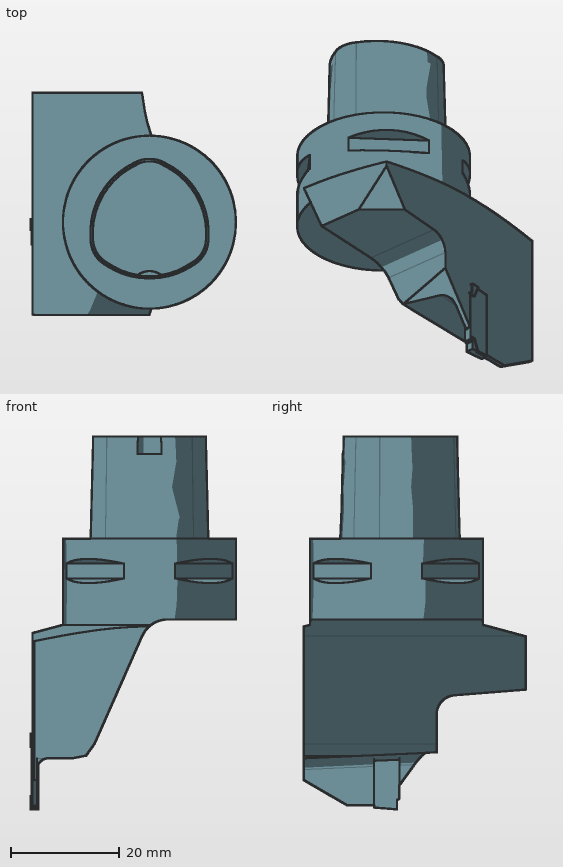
import cadquery as cq
import math


SHANK_HEIGHT = 18.9
LOBE_REACH = 11.7
FLAT_REACH = 10.4
LOBE_RADIUS = 5.5
LOBE_CENTRE = LOBE_REACH - LOBE_RADIUS
LOBE_ARC_HALF_ANGLE = 30.0
LOBE_COUNT = 3
SHANK_TAPER = math.degrees(math.atan(1 / 40))

KEYWAY_RADIUS = 7.0 / 2
KEYWAY_DEPTH = 3.3
KEYWAY_INNER_Y = -9.05

COLLAR_RADIUS = 32.0 / 2
COLLAR_HEIGHT = 15.95
CONE_ANGLE = 15.0
CONE_RADIUS = 34.5

SLOT_COUNT = 4
SLOT_START_ANGLE = 45.0
SLOT_Z = -6.0
SLOT_FLOOR_DISTANCE = 14.15
SLOT_FLOOR_WIDTH = 2.7
SLOT_MOUTH_WIDTH = 4.5

FACE_X = -21.7
BLADE_THICKNESS = 0.9
BLADE_BOTTOM_Z = -49.35
REAR_Y = 23.95
FRONT_Y = -17.2
STEP_Y = 7.45
WING_OUTER_Z = -27.95
WING_INNER_Z = -29.25
STEP_FILLET_RADIUS = 7.0 / 2
BLOCK_FRONT_Z = -40.65
BLOCK_STEP_Z = -39.55
BLADE_FILLET_RADIUS = 2.1
BLADE_CORNER_Y = -9.1
BLADE_CORNER_Z = -44.65
EDGE_CHAMFER_X = 0.4
EDGE_CHAMFER_Y = 0.15

RELIEF_TOP_Z = -15.0
RELIEF_TOP_X = 0.0
RELIEF_FILLET_RADIUS = 5.2
RELIEF_LOW = (-10.15, -37.95)
RELIEF_NOSE = (-11.7, -40.15)
RELIEF_END = (-14.2, BLOCK_FRONT_Z)

CLEARANCE_SLOPE = 54.0
WING_CLEARANCE_TILT = 30.0
BLADE_CLEARANCE_TILT = 12.0
WING_CLEARANCE = (REAR_Y, -21.25)
BLADE_CLEARANCE = (STEP_Y, -35.8)

INSERT_MIDDLE_Z = -43.05
INSERT_HALF_LENGTH = 7.05
INSERT_BACK_HALF_LENGTH = 6.7
INSERT_OUTER_X = -21.8
INSERT_INNER_X = -20.5
INSERT_FRONT_Y = 0.55
INSERT_BACK_Y = -4.15
INSERT_END_CHAMFER = 0.2
TIP_X = -22.0
TIP_EDGE_Y = 0.15
TIP_ROOT_Y = -0.4
TIP_BACK_Y = -1.45
TIP_ROOT_HALF_LENGTH = 4.55
TIP_FRONT_HALF_LENGTH = 5.05
TIP_EDGE_HALF_LENGTH = 5.3

CUTTER_SIZE = 82.8


def polar(radius, angle):
    return (radius * math.cos(math.radians(angle)), radius * math.sin(math.radians(angle)))


def lobe_point(lobe_angle, normal_angle):
    """Point of a lobe arc where the outward normal has the given angle."""
    centre_x, centre_y = polar(LOBE_CENTRE, lobe_angle)
    offset_x, offset_y = polar(LOBE_RADIUS, normal_angle)
    return (centre_x + offset_x, centre_y + offset_y)


def make_shank():
    lobe_spacing = 360 / LOBE_COUNT
    profile = cq.Workplane("XY").moveTo(*lobe_point(90, 90 - LOBE_ARC_HALF_ANGLE))
    for index in range(LOBE_COUNT):
        lobe_angle = 90 + index * lobe_spacing
        next_lobe = lobe_angle + lobe_spacing
        profile = profile.threePointArc(
            polar(LOBE_REACH, lobe_angle),
            lobe_point(lobe_angle, lobe_angle + LOBE_ARC_HALF_ANGLE),
        )
        profile = profile.threePointArc(
            polar(FLAT_REACH, lobe_angle + lobe_spacing / 2),
            lobe_point(next_lobe, next_lobe - LOBE_ARC_HALF_ANGLE),
        )
    shank = profile.close().extrude(SHANK_HEIGHT, taper=SHANK_TAPER)
    keyway = (
        cq.Workplane("XY", origin=(0, KEYWAY_INNER_Y - KEYWAY_RADIUS, SHANK_HEIGHT))
        .circle(KEYWAY_RADIUS)
        .extrude(-KEYWAY_DEPTH)
    )
    return shank.cut(keyway)


def make_gripper_slots():
    """Cutters with a flat floor and flaring sides, spread around the collar."""
    cut_distance = 2 * COLLAR_RADIUS - SLOT_FLOOR_DISTANCE
    flare = (SLOT_MOUTH_WIDTH - SLOT_FLOOR_WIDTH) / 2 / (COLLAR_RADIUS - SLOT_FLOOR_DISTANCE)
    floor_half = SLOT_FLOOR_WIDTH / 2
    outer_half = floor_half + flare * (cut_distance - SLOT_FLOOR_DISTANCE)
    slot = (
        cq.Workplane("XZ", origin=(0, 0, SLOT_Z))
        .polyline([
            (SLOT_FLOOR_DISTANCE, -floor_half),
            (cut_distance, -outer_half),
            (cut_distance, outer_half),
            (SLOT_FLOOR_DISTANCE, floor_half),
        ])
        .close()
        .extrude(COLLAR_RADIUS, both=True)
    )
    slots = cq.Workplane("XY")
    for index in range(SLOT_COUNT):
        angle = SLOT_START_ANGLE + index * 360 / SLOT_COUNT
        slots = slots.add(slot.rotate((0, 0, 0), (0, 0, 1), angle))
    return slots


def make_cone():
    """Space under the conical top of the block."""
    drop = (CONE_RADIUS - COLLAR_RADIUS) * math.tan(math.radians(CONE_ANGLE))
    return (
        cq.Workplane("XZ")
        .polyline([
            (0, -COLLAR_HEIGHT),
            (COLLAR_RADIUS, -COLLAR_HEIGHT),
            (CONE_RADIUS, -COLLAR_HEIGHT - drop),
            (CONE_RADIUS, -CUTTER_SIZE),
            (0, -CUTTER_SIZE),
        ])
        .close()
        .revolve(360, (0, 0, 0), (0, 1, 0))
    )


def make_block():
    """Wing and main block, stepped on the +Y side."""
    block = (
        cq.Workplane("YZ", origin=(FACE_X, 0, 0))
        .polyline([
            (FRONT_Y, -COLLAR_HEIGHT),
            (REAR_Y, -COLLAR_HEIGHT),
            (REAR_Y, WING_OUTER_Z),
            (STEP_Y, WING_INNER_Z),
            (STEP_Y, BLOCK_STEP_Z),
            (FRONT_Y, BLOCK_FRONT_Z),
        ])
        .close()
        .extrude(COLLAR_RADIUS - FACE_X)
    )
    step_corner = cq.selectors.NearestToPointSelector((0, STEP_Y, WING_INNER_Z))
    return block.edges("|X").edges(step_corner).fillet(STEP_FILLET_RADIUS)


def make_blade():
    return (
        cq.Workplane("YZ", origin=(FACE_X, 0, 0))
        .polyline([
            (FRONT_Y, -COLLAR_HEIGHT - STEP_FILLET_RADIUS),
            (STEP_Y, -COLLAR_HEIGHT - STEP_FILLET_RADIUS),
            (STEP_Y, BLADE_BOTTOM_Z),
            (BLADE_CORNER_Y, BLADE_BOTTOM_Z),
            (FRONT_Y, BLADE_CORNER_Z),
        ])
        .close()
        .extrude(BLADE_THICKNESS)
    )


def make_blade_fillet():
    """Fill with a concave face in the corner between the blade and the bottom of the block."""
    slope = math.atan2(BLOCK_STEP_Z - BLOCK_FRONT_Z, STEP_Y - FRONT_Y)
    length = (STEP_Y - FRONT_Y) / math.cos(slope)
    along = cq.Vector(0, math.cos(slope), math.sin(slope))
    corner = cq.Vector(FACE_X + BLADE_THICKNESS, FRONT_Y, BLOCK_FRONT_Z)
    arc_dip = BLADE_FILLET_RADIUS * (1 - math.sqrt(0.5))
    return (
        cq.Workplane(cq.Plane(corner, xDir=(1, 0, 0), normal=along))
        .moveTo(0, 0)
        .lineTo(BLADE_FILLET_RADIUS, 0)
        .threePointArc((arc_dip, arc_dip), (0, BLADE_FILLET_RADIUS))
        .close()
        .extrude(length)
    )


def make_relief():
    """Space on the +X side, below the collar and along the sloping back of the block."""
    relief = (
        cq.Workplane("XZ")
        .polyline([
            (RELIEF_TOP_X, RELIEF_TOP_Z),
            RELIEF_LOW,
            RELIEF_NOSE,
            RELIEF_END,
            (CUTTER_SIZE, BLOCK_FRONT_Z),
            (CUTTER_SIZE, RELIEF_TOP_Z),
        ])
        .close()
        .extrude(CUTTER_SIZE, both=True)
    )
    corner = cq.selectors.NearestToPointSelector((RELIEF_TOP_X, 0, RELIEF_TOP_Z))
    return relief.edges("|Y").edges(corner).fillet(RELIEF_FILLET_RADIUS)


def make_clearance(start, tilt_angle):
    """Cutter below a plane that falls towards -Y from the start point and leans outwards along +X."""
    slope = math.radians(CLEARANCE_SLOPE)
    tilt = math.radians(tilt_angle)
    downhill = cq.Vector(0, -math.cos(slope), -math.sin(slope))
    outward = cq.Vector(
        -math.sin(tilt), math.cos(tilt) * math.sin(slope), -math.cos(tilt) * math.cos(slope)
    )
    plane = cq.Plane((FACE_X, *start), xDir=downhill, normal=outward)
    return cq.Workplane(plane).box(
        CUTTER_SIZE, CUTTER_SIZE, CUTTER_SIZE, centered=(False, True, False)
    )


def make_edge_chamfer():
    """Cutter along the vertical edge between the -X and -Y faces."""
    return (
        cq.Workplane("XY", origin=(FACE_X, FRONT_Y, 0))
        .polyline([(0, 0), (EDGE_CHAMFER_X, 0), (0, EDGE_CHAMFER_Y)])
        .close()
        .extrude(-CUTTER_SIZE)
    )


def make_insert():
    """Double-ended cutting insert with a raised tip at each end."""
    half_outline = [
        (INSERT_FRONT_Y, TIP_FRONT_HALF_LENGTH),
        (TIP_EDGE_Y, TIP_EDGE_HALF_LENGTH),
        (TIP_EDGE_Y, INSERT_HALF_LENGTH),
        (INSERT_BACK_Y, INSERT_BACK_HALF_LENGTH),
    ]
    mirrored_outline = [(y, -z) for y, z in reversed(half_outline)]
    insert = (
        cq.Workplane("YZ", origin=(INSERT_OUTER_X, 0, INSERT_MIDDLE_Z))
        .polyline(half_outline + mirrored_outline)
        .close()
        .extrude(INSERT_INNER_X - INSERT_OUTER_X)
    )
    insert = insert.faces("<X").edges(">Z or <Z").chamfer(INSERT_END_CHAMFER)
    end_slope = (INSERT_HALF_LENGTH - INSERT_BACK_HALF_LENGTH) / (TIP_EDGE_Y - INSERT_BACK_Y)
    tip_back_half_length = INSERT_BACK_HALF_LENGTH + end_slope * (TIP_BACK_Y - INSERT_BACK_Y)
    for side in (1, -1):
        tip = (
            cq.Workplane("YZ", origin=(TIP_X, 0, INSERT_MIDDLE_Z))
            .polyline([
                (INSERT_FRONT_Y, side * TIP_ROOT_HALF_LENGTH),
                (INSERT_FRONT_Y, side * TIP_FRONT_HALF_LENGTH),
                (TIP_EDGE_Y, side * TIP_EDGE_HALF_LENGTH),
                (TIP_EDGE_Y, side * INSERT_HALF_LENGTH),
                (TIP_BACK_Y, side * tip_back_half_length),
                (TIP_ROOT_Y, side * TIP_ROOT_HALF_LENGTH),
            ])
            .close()
            .extrude(INSERT_INNER_X - TIP_X)
        )
        insert = insert.union(tip)
    return insert


def make_holder(insert):
    """Shank, collar, block and blade in one piece, with a seat for the insert."""
    collar = cq.Workplane("XY").circle(COLLAR_RADIUS).extrude(-COLLAR_HEIGHT)
    for slot in make_gripper_slots().vals():
        collar = collar.cut(cq.Workplane(slot))
    block = make_block().intersect(make_cone())
    holder = collar.union(block).cut(make_relief())
    holder = holder.union(make_blade()).union(make_blade_fillet())
    holder = holder.cut(make_clearance(WING_CLEARANCE, WING_CLEARANCE_TILT))
    holder = holder.cut(make_clearance(BLADE_CLEARANCE, BLADE_CLEARANCE_TILT))
    edge_chamfer = make_edge_chamfer().intersect(make_cone())
    return holder.cut(edge_chamfer).union(make_shank()).cut(insert)


insert = make_insert()
holder = make_holder(insert)
result = cq.Compound.makeCompound([holder.val(), insert.val()])